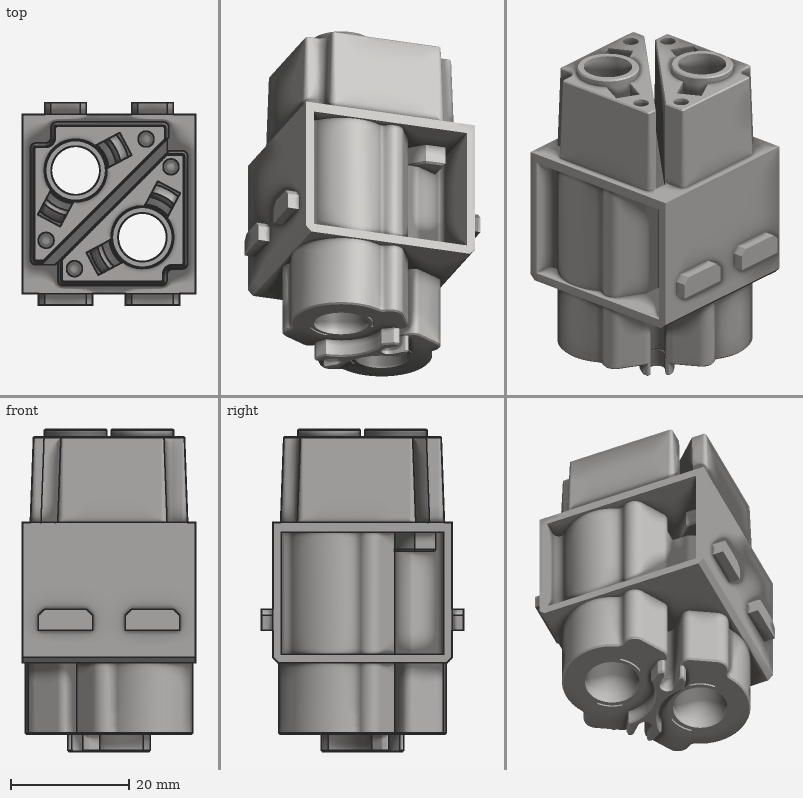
import cadquery as cq
import math

TOTAL_HEIGHT = 54.5
TOWER_TOP = 53.25
FRAME_TOP = 38.75
FRAME_BOTTOM = 15.0
INSERT_BOTTOM = 2.95

FRAME_X = 29.3
FRAME_Y = 30.3
SIDE_WALL = 1.4
TOP_WALL = 1.65
BOTTOM_WALL = 1.45
FRAME_CHAMFER = 0.9
CAVITY_TOP = FRAME_TOP - TOP_WALL
CAVITY_BOTTOM = FRAME_BOTTOM + BOTTOM_WALL
CAVITY_HALF_Y = FRAME_Y / 2 - SIDE_WALL

TAB_DEPTH = 1.95
TAB_BOTTOM = 20.5
TAB_HEIGHT = 3.6
TAB_CHAMFER = 1.05
TAB_CENTER_X = 7.35
FRONT_TAB_WIDTH = 9.15
BACK_TAB_WIDTH = 7.1

SOCKET_OFFSET = 5.64
SLEEVE_DIAMETER = 10.6
BORE_DIAMETER = 8.2
COUNTERBORE_DIAMETER = 9.25
BORE_DEPTH = 3.05
SLEEVE_CHAMFER = 0.2
CLEARANCE_RADIUS = 5.55

TOWER_DRAFT = 2.1
TOWER_CORNER_RADIUS = 1.0
TOWER_CHAMFER = 0.2
TOWER_OUTER_X = 13.3
TOWER_OUTER_Y = 13.85
TOWER_NOTCH_X = 9.8
UPPER_NOTCH_Y = 10.3
LOWER_NOTCH_Y = -11.0
UPPER_TOWER_END = (10.15, -10.3)
LOWER_TOWER_END = (-8.65, 9.0)
GAP_WIDTH = 1.7
GROOVE_DEPTH = 1.4
GAP_END_X = 9.8
GAP_END_Y = -10.3

PIN_HOLE_DIAMETER = 2.65
PIN_HOLE_DEPTH = 4.35
UPPER_PIN_HOLES = ((6.25, 10.95), (-10.65, -6.15))
LOWER_PIN_HOLES = ((10.45, 6.25), (-5.85, -10.95))

POCKET_ANGLE = 28.0
POCKET_WIDTH = 4.3
POCKET_REACH = 9.6
POCKET_DEPTH = 4.35
RIDGE_START = 6.9
RIDGE_PEAK = 7.75
RIDGE_END = 9.15
RIDGE_HEIGHT = 1.35

FOOT_BOTTOM = 33.85
FOOT_HALF = 12.35
FOOT_END = 7.65
FOOT_CHAMFER = 0.3

LOBE_RADIUS = 8.53
WING_RADIUS = 2.2
WING_CENTER = (-11.5, -1.1)
TIP_RADIUS = 1.45
TIP_CENTER = (-7.9, -4.0)
FLANK_ANGLE = -120.0
LOBE_FILLET = 1.1
LOBE_COVE_RADIUS = 1.1
WING_COVE_RADIUS = 0.8
INSERT_CHAMFER = 0.25
CORE_HALF = 5.45
SLOT_RADIUS = (TIP_CENTER[1] - TIP_CENTER[0]) / math.sqrt(2) - TIP_RADIUS
SLOT_CENTER = 5.2
SLOT_MOUTH = -(TIP_CENTER[0] + TIP_CENTER[1]) / math.sqrt(2)

STUB_HALF = 5.8
STUB_RELIEF_RADIUS = 7.2
PRONG_REACH = 7.0
PRONG_INNER = 3.3
PRONG_OUTER = 4.45
PRONG_ROOT = math.sqrt(STUB_RELIEF_RADIUS**2 - (STUB_HALF - SOCKET_OFFSET) ** 2) - SOCKET_OFFSET
PRONG_FILLET = 0.4
STUB_CHAMFER = 0.25


def block(x0, x1, y0, y1, z0, z1):
    return cq.Workplane("XY").box(x1 - x0, y1 - y0, z1 - z0, centered=False).translate((x0, y0, z0))


def disc(center, radius, z0, z1):
    return cq.Workplane("XY").workplane(offset=z0).center(*center).circle(radius).extrude(z1 - z0)


def prism(points, z0, z1):
    return cq.Workplane("XY").workplane(offset=z0).polyline(points).close().extrude(z1 - z0)


def polar(center, radius, angle):
    a = math.radians(angle)
    return (center[0] + radius * math.cos(a), center[1] + radius * math.sin(a))


def swapped(body):
    """Mirror image across the diagonal plane y = x."""
    return body.mirror("XZ").rotate((0, 0, 0), (0, 0, 1), 90)


def turned(body):
    """The body turned half a revolution about Z."""
    return body.rotate((0, 0, 0), (0, 0, 1), 180)


UPPER_SOCKET = (-SOCKET_OFFSET, SOCKET_OFFSET)
LOWER_SOCKET = (SOCKET_OFFSET, -SOCKET_OFFSET)
UPPER_WING = (-WING_CENTER[1], -WING_CENTER[0])


def diagonal_gap(z0, z1):
    band = block(-27.25, 27.25, -GAP_WIDTH / 2, GAP_WIDTH / 2, z0, z1)
    return band.rotate((0, 0, 0), (0, 0, 1), 45)


def frame():
    body = block(-FRAME_X / 2, FRAME_X / 2, -FRAME_Y / 2, FRAME_Y / 2, FRAME_BOTTOM, FRAME_TOP)
    body = body.edges("|X and <Z").chamfer(FRAME_CHAMFER)
    cavity = block(-FRAME_X, FRAME_X, -CAVITY_HALF_Y, CAVITY_HALF_Y, CAVITY_BOTTOM, CAVITY_TOP)
    groove_floor = FRAME_TOP - GROOVE_DEPTH
    groove = diagonal_gap(groove_floor, FRAME_TOP).intersect(
        block(-FRAME_X, GAP_END_X, GAP_END_Y, FRAME_Y, groove_floor, FRAME_TOP)
    )
    return body.cut(cavity).cut(groove)


def tab(center_x, width, side):
    y0 = FRAME_Y / 2 if side > 0 else -FRAME_Y / 2 - TAB_DEPTH
    body = block(
        center_x - width / 2, center_x + width / 2, y0, y0 + TAB_DEPTH, TAB_BOTTOM, TAB_BOTTOM + TAB_HEIGHT
    )
    return body.edges("|Y and >Z").chamfer(TAB_CHAMFER)


def insert_quarter():
    """The upper lobe with the wing on its -X side."""
    z0, z1 = INSERT_BOTTOM, CAVITY_TOP
    outline = [
        UPPER_SOCKET,
        WING_CENTER,
        polar(WING_CENTER, WING_RADIUS, FLANK_ANGLE),
        polar(TIP_CENTER, TIP_RADIUS, FLANK_ANGLE),
        TIP_CENTER,
        polar(TIP_CENTER, TIP_RADIUS, -45),
        polar((0, 0), SLOT_MOUTH, -135),
        (0, 0),
    ]
    body = prism(outline, z0, z1)
    body = body.union(disc(WING_CENTER, WING_RADIUS, z0, z1))
    body = body.union(disc(TIP_CENTER, TIP_RADIUS, z0, z1))
    body = body.union(disc(UPPER_SOCKET, LOBE_RADIUS, z0, z1))
    groove = cq.selectors.BoxSelector((-14.15, 0.55, 0), (-11.45, 2.7, 54.5))
    return body.edges("|Z").edges(groove).fillet(LOBE_FILLET)


def diagonal_slots(z0, z1):
    """Two round-ended slots along y = x, open outwards between the wing tips."""
    slot = block(SLOT_CENTER, SLOT_MOUTH, -SLOT_RADIUS, SLOT_RADIUS, z0, z1)
    slot = slot.union(disc((SLOT_CENTER, 0), SLOT_RADIUS, z0, z1))
    slot = slot.rotate((0, 0, 0), (0, 0, 1), 45)
    return slot.union(turned(slot))


def insert():
    quarter = insert_quarter()
    half = quarter.union(turned(swapped(quarter)))
    body = half.union(swapped(half)).clean()
    body = body.cut(diagonal_slots(INSERT_BOTTOM, CAVITY_TOP))
    return body.faces("<Z").chamfer(INSERT_CHAMFER)


def wall_cove(center, radius, cove_radius):
    """Concave filling between the +Y wall and the -X side of a round column next to it."""
    cove_y = CAVITY_HALF_Y - cove_radius
    reach = radius + cove_radius
    cove_x = center[0] - math.sqrt(reach**2 - (cove_y - center[1]) ** 2)
    outline = [center, (cove_x, cove_y), (cove_x, CAVITY_HALF_Y), (center[0], CAVITY_HALF_Y)]
    body = prism(outline, CAVITY_BOTTOM, CAVITY_TOP)
    return body.cut(disc((cove_x, cove_y), cove_radius, CAVITY_BOTTOM, CAVITY_TOP))


def core():
    """Cross-shaped filling between the wing tips inside the frame."""
    tip = -TIP_CENTER[0]
    bar = block(-CORE_HALF, CORE_HALF, -tip, tip, CAVITY_BOTTOM, FOOT_BOTTOM)
    return bar.union(swapped(bar))


def stub():
    body = block(-STUB_HALF, STUB_HALF, -STUB_HALF, STUB_HALF, 0, INSERT_BOTTOM)
    for socket in (UPPER_SOCKET, LOWER_SOCKET):
        body = body.cut(disc(socket, STUB_RELIEF_RADIUS, 0, INSERT_BOTTOM))
    outline = [
        (-STUB_HALF, -PRONG_ROOT),
        (-PRONG_REACH, -PRONG_INNER),
        (-PRONG_REACH, -PRONG_OUTER),
        (-STUB_HALF, -PRONG_OUTER),
    ]
    prong = prism(outline, 0, INSERT_BOTTOM)
    prong = prong.edges("|Z and <X").fillet(PRONG_FILLET)
    pair = prong.union(swapped(prong))
    body = body.union(pair).union(turned(pair))
    body = body.faces("<Z").chamfer(STUB_CHAMFER)
    return body.cut(diagonal_slots(0, INSERT_BOTTOM))


def tower(end_x, end_y, notch_y, side):
    """Drafted tower; side is +1 for the one on the +Y side of the diagonal."""
    outline = [
        (-side * TOWER_OUTER_X, end_y),
        (-side * TOWER_OUTER_X, notch_y),
        (-side * TOWER_NOTCH_X, notch_y),
        (-side * TOWER_NOTCH_X, side * TOWER_OUTER_Y),
        (end_x, side * TOWER_OUTER_Y),
        (end_x, end_y),
    ]
    sketch = cq.Sketch().polygon(outline + outline[:1]).vertices().fillet(TOWER_CORNER_RADIUS)
    body = cq.Workplane("XY").workplane(offset=FRAME_TOP).placeSketch(sketch)
    body = body.extrude(TOWER_TOP - FRAME_TOP, taper=TOWER_DRAFT)
    keep = block(-27.25, 27.25, GAP_WIDTH / 2, 27.25, FRAME_TOP, TOWER_TOP).rotate((0, 0, 0), (0, 0, 1), 45)
    if side < 0:
        keep = turned(keep)
    return body.intersect(keep).faces(">Z").chamfer(TOWER_CHAMFER)


def foot():
    """Tower foot on the +Y side of the diagonal."""
    gap_shift = GAP_WIDTH / math.sqrt(2)
    outline = [
        (0, gap_shift),
        (0, FOOT_HALF),
        (FOOT_END, FOOT_HALF),
        (FOOT_END, FOOT_END + gap_shift),
    ]
    return prism(outline, FOOT_BOTTOM, CAVITY_TOP).faces("<Z").chamfer(FOOT_CHAMFER)


def latch_pocket(socket, angle):
    """Cutter for one pocket: a slit beside the sleeve and a ridged recess."""
    floor = TOWER_TOP - POCKET_DEPTH
    profile = [
        (SLEEVE_DIAMETER / 2, 0),
        (CLEARANCE_RADIUS, 0),
        (CLEARANCE_RADIUS, floor),
        (RIDGE_START, floor),
        (RIDGE_PEAK, floor + RIDGE_HEIGHT),
        (RIDGE_END, floor),
        (POCKET_REACH + 1.1, floor),
        (POCKET_REACH + 1.1, TOTAL_HEIGHT),
        (SLEEVE_DIAMETER / 2, TOTAL_HEIGHT),
    ]
    ring = cq.Workplane("XZ").polyline(profile).close().revolve(90, (0, 0, 0), (0, 1, 0))
    ring = ring.rotate((0, 0, 0), (0, 0, 1), -45)
    sector = block(0, POCKET_REACH, -POCKET_WIDTH / 2, POCKET_WIDTH / 2, 0, TOTAL_HEIGHT)
    cutter = ring.intersect(sector).rotate((0, 0, 0), (0, 0, 1), angle)
    return cutter.translate((socket[0], socket[1], 0))


def sleeve(socket):
    body = disc(socket, SLEEVE_DIAMETER / 2, CAVITY_TOP, TOTAL_HEIGHT)
    return body.faces(">Z").chamfer(SLEEVE_CHAMFER)


def bore(socket):
    body = disc(socket, BORE_DIAMETER / 2, 0, TOTAL_HEIGHT)
    return body.union(disc(socket, COUNTERBORE_DIAMETER / 2, 0, TOTAL_HEIGHT - BORE_DEPTH))


result = frame().union(insert()).union(core())
coves = wall_cove(UPPER_SOCKET, LOBE_RADIUS, LOBE_COVE_RADIUS)
coves = coves.union(wall_cove(UPPER_WING, WING_RADIUS, WING_COVE_RADIUS).mirror("YZ", (UPPER_WING[0], 0, 0)))
result = result.union(coves).union(turned(coves))
result = result.union(stub())
result = result.union(foot()).union(turned(foot()))
result = result.union(tower(*UPPER_TOWER_END, UPPER_NOTCH_Y, 1))
result = result.union(tower(*LOWER_TOWER_END, LOWER_NOTCH_Y, -1))
for direction in (-1, 1):
    result = result.union(tab(direction * TAB_CENTER_X, FRONT_TAB_WIDTH, -1))
    result = result.union(tab(direction * TAB_CENTER_X, BACK_TAB_WIDTH, 1))

for socket, angles in (
    (UPPER_SOCKET, (POCKET_ANGLE, -90 - POCKET_ANGLE)),
    (LOWER_SOCKET, (90 - POCKET_ANGLE, 180 + POCKET_ANGLE)),
):
    result = result.union(sleeve(socket))
    for angle in angles:
        result = result.cut(latch_pocket(socket, angle), clean=False)
    result = result.cut(bore(socket), clean=False)
for center in UPPER_PIN_HOLES + LOWER_PIN_HOLES:
    result = result.cut(disc(center, PIN_HOLE_DIAMETER / 2, TOWER_TOP - PIN_HOLE_DEPTH, TOWER_TOP), clean=False)